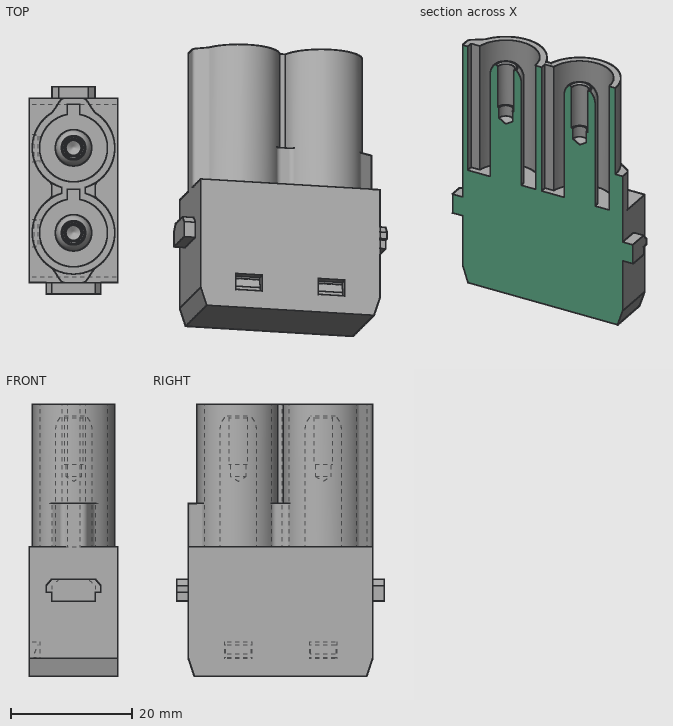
import cadquery as cq
import math

BODY_WIDTH = 14.65
BODY_LENGTH = 30.4
BODY_HEIGHT = 21.4
TOTAL_HEIGHT = 44.85
END_BEVEL_DEPTH = 1.0
END_BEVEL_HEIGHT = 3.0
END_Y = BODY_LENGTH / 2

TOWER_PITCH = 14.0
TOWER_RADIUS = 6.8
SOCKET_RADIUS = 5.6
KEYWAY_WIDTH = 2.1
KEYWAY_REACH = 7.17
TOWER_CENTERS = (TOWER_PITCH / 2, -TOWER_PITCH / 2)

LOW_RIB_TOP = 28.5
END_RIB_TIP_HALF_WIDTH = 1.92
END_RIB_LENGTH = 4.0
END_RIB_FLANK_ANGLE = 33.4
RIB_ROUND = 1.0
SEAM_NEAREST = 1.5
SEAM_FARTHEST = 3.0
TOWER_WEB_WIDTH = 3.9
LOW_WEB_WIDTH = 7.15

PIN_RADIUS = 3.0
PIN_TIP_RADIUS = 2.0
PIN_SHOULDER_RADIUS = 3.0
PIN_RECESS = 1.9
PIN_BORE_RADIUS = 1.5
PIN_COUNTERSINK_RADIUS = 1.8
PIN_COUNTERSINK_DEPTH = 0.3
PIN_BORE_DEPTH = 8.0
PIN_PILOT_RADIUS = 1.25
PIN_PILOT_DEPTH = 10.0
DRILL_POINT_ANGLE = 118.0

LUG_REACH = 1.9
LUG_BOTTOM = 12.4
LUG_TOP = 16.05
LUG_CHAMFER_HEIGHT = 1.1
LUG_STEM_WIDTH = 7.15
BACK_LUG_TOP_WIDTH = 4.85
FRONT_LUG_WIDTH = 9.05
FRONT_LUG_LEDGE = 13.85

WINDOW_WIDTH = 4.5
WINDOW_BOTTOM = 3.0
WINDOW_TOP = 5.7
WINDOW_DEPTH = 1.8
LATCH_SIDE_GAP = 0.16
LATCH_LOWER_GAP = 0.2
LATCH_SETBACK = 0.8
LATCH_NOSE_TOP = 3.75
LATCH_TOP = 5.25
LATCH_SLOPE_RUN = 0.6


def make_body():
    """Block with a bevel along the bottom of each Y end."""
    bottom_y = END_Y - END_BEVEL_DEPTH
    outline = [
        (-bottom_y, 0),
        (bottom_y, 0),
        (END_Y, END_BEVEL_HEIGHT),
        (END_Y, BODY_HEIGHT),
        (-END_Y, BODY_HEIGHT),
        (-END_Y, END_BEVEL_HEIGHT),
    ]
    profile = cq.Workplane("YZ").polyline(outline).close()
    return profile.extrude(BODY_WIDTH / 2, both=True)


def make_end_rib(side, top):
    """Tapered rib from inside a tower to the body end, blended into the tower wall.

    The returned solid includes the tower cylinder up to the rib top.
    """
    center_y = side * TOWER_PITCH / 2
    height = top - BODY_HEIGHT
    flank_slope = math.tan(math.radians(END_RIB_FLANK_ANGLE))
    base_half_width = END_RIB_TIP_HALF_WIDTH + END_RIB_LENGTH * flank_slope
    base_y = side * (END_Y - END_RIB_LENGTH)
    outline = [
        (-base_half_width, base_y),
        (base_half_width, base_y),
        (END_RIB_TIP_HALF_WIDTH, side * END_Y),
        (-END_RIB_TIP_HALF_WIDTH, side * END_Y),
    ]
    level = cq.Workplane("XY").workplane(offset=BODY_HEIGHT)
    rib = level.polyline(outline).close().extrude(height)
    rib = rib.edges("|Z").edges(">Y" if side > 0 else "<Y").fillet(RIB_ROUND)
    tower = level.center(0, center_y).circle(TOWER_RADIUS).extrude(height)
    joined = tower.union(rib)
    seam_zone = cq.selectors.BoxSelector(
        (-TOWER_RADIUS, side * (END_Y - SEAM_FARTHEST), BODY_HEIGHT),
        (TOWER_RADIUS, side * (END_Y - SEAM_NEAREST), top),
    )
    return joined.edges("|Z").edges(seam_zone).fillet(RIB_ROUND)


def make_tower_web():
    """Narrow full-height web joining the towers."""
    height = TOTAL_HEIGHT - BODY_HEIGHT
    level = cq.Workplane("XY").workplane(offset=BODY_HEIGHT)
    return level.rect(TOWER_WEB_WIDTH, TOWER_PITCH - 2 * SOCKET_RADIUS).extrude(height)


def make_low_web():
    """Wide low web whose sides flow into both towers through concave arcs."""
    half_width = LOW_WEB_WIDTH / 2
    blend_x = half_width + RIB_ROUND
    blend_reach = TOWER_RADIUS + RIB_ROUND
    blend_offset = math.sqrt(blend_reach**2 - blend_x**2)
    blend_y = TOWER_PITCH / 2 - blend_offset
    touch_x = blend_x * TOWER_RADIUS / blend_reach
    touch_y = TOWER_PITCH / 2 - blend_offset * TOWER_RADIUS / blend_reach
    sweep = math.atan2(touch_y - blend_y, blend_x - touch_x)
    middle_x = blend_x - RIB_ROUND * math.cos(sweep / 2)
    middle_y = blend_y + RIB_ROUND * math.sin(sweep / 2)
    level = cq.Workplane("XY").workplane(offset=BODY_HEIGHT)
    outline = (
        level.moveTo(-touch_x, touch_y)
        .threePointArc((-middle_x, middle_y), (-half_width, blend_y))
        .lineTo(-half_width, -blend_y)
        .threePointArc((-middle_x, -middle_y), (-touch_x, -touch_y))
        .lineTo(touch_x, -touch_y)
        .threePointArc((middle_x, -middle_y), (half_width, -blend_y))
        .lineTo(half_width, blend_y)
        .threePointArc((middle_x, middle_y), (touch_x, touch_y))
        .close()
    )
    return outline.extrude(LOW_RIB_TOP - BODY_HEIGHT)


def make_tower(center_y):
    """Plain full-height tower cylinder."""
    level = cq.Workplane("XY").workplane(offset=BODY_HEIGHT)
    return level.center(0, center_y).circle(TOWER_RADIUS).extrude(TOTAL_HEIGHT - BODY_HEIGHT)


def make_socket(center_y):
    """Round cavity with a keyway on its +Y side, down to the body top."""
    height = TOTAL_HEIGHT - BODY_HEIGHT
    level = cq.Workplane("XY").workplane(offset=BODY_HEIGHT)
    cavity = level.center(0, center_y).circle(SOCKET_RADIUS).extrude(height)
    keyway = (
        level.center(0, center_y + KEYWAY_REACH / 2)
        .rect(KEYWAY_WIDTH, KEYWAY_REACH)
        .extrude(height)
    )
    return cavity.union(keyway)


def make_pin(center_y):
    """Contact pin with a rounded end and a stepped, countersunk blind bore."""
    tip_z = TOTAL_HEIGHT - PIN_RECESS
    full_angle = math.acos(1 - (PIN_RADIUS - PIN_TIP_RADIUS) / PIN_SHOULDER_RADIUS)
    arc_center_r = PIN_RADIUS - PIN_SHOULDER_RADIUS
    shoulder_z = tip_z - PIN_SHOULDER_RADIUS * math.sin(full_angle)
    arc_middle = (
        arc_center_r + PIN_SHOULDER_RADIUS * math.cos(full_angle / 2),
        shoulder_z + PIN_SHOULDER_RADIUS * math.sin(full_angle / 2),
    )
    bore_floor = tip_z - PIN_BORE_DEPTH
    pilot_floor = tip_z - PIN_PILOT_DEPTH
    point_depth = PIN_PILOT_RADIUS / math.tan(math.radians(DRILL_POINT_ANGLE / 2))
    profile = (
        cq.Workplane("XZ")
        .moveTo(0, BODY_HEIGHT)
        .lineTo(PIN_RADIUS, BODY_HEIGHT)
        .lineTo(PIN_RADIUS, shoulder_z)
        .threePointArc(arc_middle, (PIN_TIP_RADIUS, tip_z))
        .lineTo(PIN_COUNTERSINK_RADIUS, tip_z)
        .lineTo(PIN_BORE_RADIUS, tip_z - PIN_COUNTERSINK_DEPTH)
        .lineTo(PIN_BORE_RADIUS, bore_floor)
        .lineTo(PIN_PILOT_RADIUS, bore_floor)
        .lineTo(PIN_PILOT_RADIUS, pilot_floor)
        .lineTo(0, pilot_floor - point_depth)
        .close()
    )
    return profile.revolve(360, (0, 0, 0), (0, 1, 0)).translate((0, center_y, 0))


def extrude_lug(right_half, side):
    """Lug from the right half of its XZ outline, mirrored about X = 0."""
    left_half = [(-x, z) for x, z in reversed(right_half)]
    profile = cq.Workplane("XZ").polyline(right_half + left_half).close()
    return profile.extrude(-side * (END_Y + LUG_REACH))


def make_back_lug():
    """Chamfered lug on the +Y end."""
    shoulder_z = LUG_TOP - LUG_CHAMFER_HEIGHT
    right_half = [
        (LUG_STEM_WIDTH / 2, LUG_BOTTOM),
        (LUG_STEM_WIDTH / 2, shoulder_z),
        (BACK_LUG_TOP_WIDTH / 2, LUG_TOP),
    ]
    return extrude_lug(right_half, 1)


def make_front_lug():
    """Wider lug on the -Y end with a narrower stem below."""
    shoulder_z = LUG_TOP - LUG_CHAMFER_HEIGHT
    right_half = [
        (LUG_STEM_WIDTH / 2, LUG_BOTTOM),
        (LUG_STEM_WIDTH / 2, FRONT_LUG_LEDGE),
        (FRONT_LUG_WIDTH / 2, FRONT_LUG_LEDGE),
        (FRONT_LUG_WIDTH / 2, shoulder_z),
        (LUG_STEM_WIDTH / 2, LUG_TOP),
    ]
    return extrude_lug(right_half, -1)


def make_window(center_y):
    """Blind window in the -X side."""
    side_x = -BODY_WIDTH / 2
    height = WINDOW_TOP - WINDOW_BOTTOM
    window = cq.Workplane("XY").box(WINDOW_DEPTH, WINDOW_WIDTH, height, centered=(False, True, False))
    return window.translate((side_x, center_y, WINDOW_BOTTOM))


def make_latch(center_y):
    """Latch tooth inside a window: upright nose below, sloping face above."""
    nose_x = -BODY_WIDTH / 2 + LATCH_SETBACK
    back_x = -BODY_WIDTH / 2 + WINDOW_DEPTH
    outline = [
        (nose_x, WINDOW_BOTTOM + LATCH_LOWER_GAP),
        (nose_x, LATCH_NOSE_TOP),
        (nose_x + LATCH_SLOPE_RUN, LATCH_TOP),
        (back_x, LATCH_TOP),
        (back_x, WINDOW_BOTTOM + LATCH_LOWER_GAP),
    ]
    width = WINDOW_WIDTH - 2 * LATCH_SIDE_GAP
    tooth = cq.Workplane("XZ").polyline(outline).close().extrude(width / 2, both=True)
    return tooth.translate((0, center_y, 0))


result = make_body()
for tower_y in TOWER_CENTERS:
    result = result.union(make_tower(tower_y))
result = result.union(make_end_rib(1, TOTAL_HEIGHT))
result = result.union(make_end_rib(-1, LOW_RIB_TOP))
result = result.union(make_tower_web()).union(make_low_web())
for tower_y in TOWER_CENTERS:
    result = result.cut(make_socket(tower_y))
    result = result.union(make_pin(tower_y))
result = result.union(make_back_lug()).union(make_front_lug())
for tower_y in TOWER_CENTERS:
    result = result.cut(make_window(tower_y)).union(make_latch(tower_y))